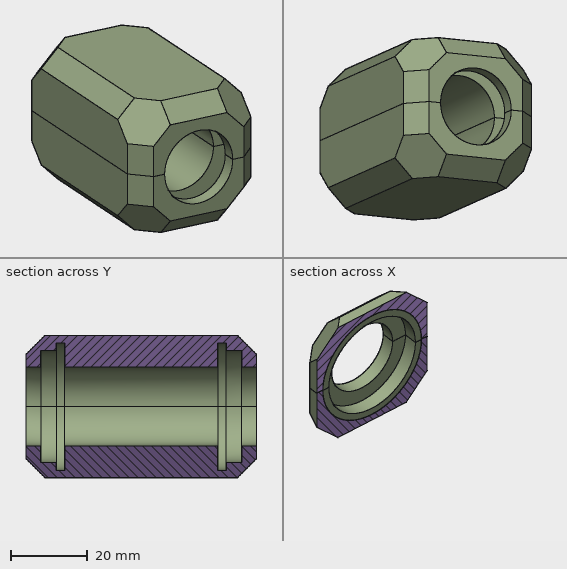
import cadquery as cq

length = 60.0
width = 37.0
flat_width = 27.0
chamfer = (width - flat_width) / 2
corner_cut = 3 * chamfer

bore_diameter = 20.4
shallow_ring_diameter = 29.05
deep_ring_diameter = 33.0
shallow_ring_start = 3.9
deep_ring_start = 8.0
deep_ring_end = 10.1


def corner_wedge(x_side, y_side, z_side):
    """Tetrahedron that removes one corner of the block with an equal-angle plane."""
    corner = cq.Vector(x_side * length / 2, y_side * width / 2, z_side * width / 2)
    along_x = corner - cq.Vector(x_side * corner_cut, 0, 0)
    along_y = corner - cq.Vector(0, y_side * corner_cut, 0)
    along_z = corner - cq.Vector(0, 0, z_side * corner_cut)
    triangles = [
        (along_x, along_y, along_z),
        (corner, along_x, along_y),
        (corner, along_y, along_z),
        (corner, along_z, along_x),
    ]
    faces = [cq.Face.makeFromWires(cq.Wire.makePolygon(points, close=True)) for points in triangles]
    return cq.Solid.makeSolid(cq.Shell.makeShell(faces))


def beveled_block():
    """Full outer shape: a box with beveled edges and flat-cut corners."""
    block = cq.Workplane("XY").box(length, width, width).edges().chamfer(chamfer)
    for x_side in (-1, 1):
        for y_side in (-1, 1):
            for z_side in (-1, 1):
                block = block.cut(cq.Workplane(corner_wedge(x_side, y_side, z_side)))
    return block


def x_cylinder(diameter, x_start, x_end):
    """Cylinder on the X axis between two X positions."""
    return cq.Workplane("YZ", origin=(x_start, 0, 0)).circle(diameter / 2).extrude(x_end - x_start)


def stepped_recess():
    """Ring recess near the -X end: a shallow ring followed by a deeper, narrower one."""
    end_face = -length / 2
    shallow_ring = x_cylinder(shallow_ring_diameter, end_face + shallow_ring_start, end_face + deep_ring_start)
    deep_ring = x_cylinder(deep_ring_diameter, end_face + deep_ring_start, end_face + deep_ring_end)
    return shallow_ring.union(deep_ring)


def hollow():
    """Space inside the housing: the through bore and a mirrored pair of stepped recesses."""
    bore = x_cylinder(bore_diameter, -length / 2, length / 2)
    recess = stepped_recess()
    return bore.union(recess).union(recess.mirror("YZ"))


def housing_half(z_side):
    """Half of the housing on one side of the Z = 0 split plane."""
    half_box = cq.Workplane("XY").box(length, width, width / 2)
    half_space = half_box.translate((0, 0, z_side * width / 4))
    return beveled_block().cut(hollow()).intersect(half_space)


upper_half = housing_half(1)
lower_half = housing_half(-1)

result = cq.Compound.makeCompound([upper_half.val(), lower_half.val()])